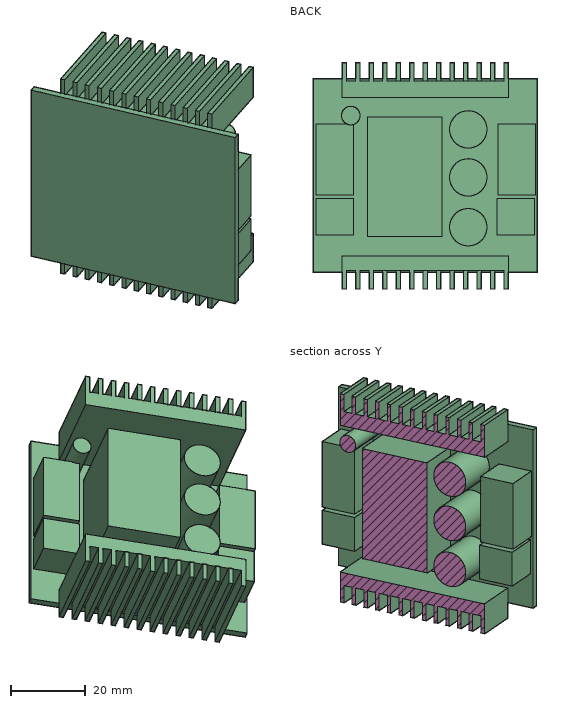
import cadquery as cq

BOARD_WIDTH = 60.0
BOARD_HEIGHT = 51.8
BOARD_THICKNESS = 2.0

SINK_WIDTH = 44.5
SINK_LEFT = (BOARD_WIDTH - SINK_WIDTH) / 2
SINK_LENGTH = 26.9
FIN_COUNT = 13
FIN_THICKNESS = 1.2
FIN_PITCH = (SINK_WIDTH - FIN_THICKNESS) / (FIN_COUNT - 1)
FIN_HEIGHT = 4.95
TOP_OVERHANG = 4.3
TOP_SINK_HEIGHT = 9.35
BOTTOM_OVERHANG = 4.5
BOTTOM_SINK_HEIGHT = 8.8
TOP_LONG_FINS = (1, 2, 3, 4, 5, 6, 8)
TOP_LONG_FIN_EXTRA = 0.1
BOTTOM_LONG_FINS = (1, 2, 3, 4, 5, 6, 8, 9)
BOTTOM_LONG_FIN_EXTRA = 0.25

CAPACITOR_DIAMETER = 10.0
CAPACITOR_LENGTH = 21.95
CAPACITOR_X = 18.5
CAPACITOR_HEIGHTS = (12.05, 25.4, 38.25)

SMALL_DIAMETER = 4.95
SMALL_LENGTH = 14.95
SMALL_RIGHT = 52.4
SMALL_TOP = 44.4

BLOCK_LEFT = 25.45
BLOCK_WIDTH = 20.0
BLOCK_BOTTOM = 9.5
BLOCK_HEIGHT = 32.05
BLOCK_LENGTH = 25.0

CONNECTOR_WIDTH = 10.0
CONNECTOR_LENGTH = 10.0
RIGHT_CONNECTOR_INSET = 0.7
LONG_CONNECTOR_INSET = 0.5
LONG_CONNECTOR_BOTTOM = 20.7
LONG_CONNECTOR_HEIGHT = 19.0
SHORT_CONNECTOR_INSET = 0.7
SHORT_CONNECTOR_BOTTOM = 9.95
SHORT_CONNECTOR_HEIGHT = 9.8


def box_on_board(left, bottom, width, height, length):
    """Box rising from the board's back face."""
    corner = (left, BOARD_THICKNESS, bottom)
    return cq.Workplane("XY").box(width, length, height, centered=False).translate(corner)


def cylinder_on_board(x, z, diameter, length):
    """Round component rising from the board's back face."""
    back_face = cq.Workplane("XZ", origin=(x, BOARD_THICKNESS, z))
    return back_face.circle(diameter / 2).extrude(-length)


def heat_sink(base_bottom, base_height, fins_bottom, long_fins, long_fin_extra):
    """Sink base with its row of fins."""
    sink = box_on_board(SINK_LEFT, base_bottom, SINK_WIDTH, base_height, SINK_LENGTH)
    for index in range(FIN_COUNT):
        left = SINK_LEFT + index * FIN_PITCH
        length = SINK_LENGTH + (long_fin_extra if index in long_fins else 0)
        sink = sink.union(box_on_board(left, fins_bottom, FIN_THICKNESS, FIN_HEIGHT, length))
    return sink


result = cq.Workplane("XY").box(BOARD_WIDTH, BOARD_THICKNESS, BOARD_HEIGHT, centered=False)

top_base_height = TOP_SINK_HEIGHT - FIN_HEIGHT
top_base_bottom = BOARD_HEIGHT + TOP_OVERHANG - TOP_SINK_HEIGHT
top_fins_bottom = top_base_bottom + top_base_height
result = result.union(
    heat_sink(top_base_bottom, top_base_height, top_fins_bottom, TOP_LONG_FINS, TOP_LONG_FIN_EXTRA)
)

bottom_base_height = BOTTOM_SINK_HEIGHT - FIN_HEIGHT
bottom_fins_bottom = -BOTTOM_OVERHANG
bottom_base_bottom = bottom_fins_bottom + FIN_HEIGHT
result = result.union(
    heat_sink(
        bottom_base_bottom, bottom_base_height, bottom_fins_bottom, BOTTOM_LONG_FINS, BOTTOM_LONG_FIN_EXTRA
    )
)

for z in CAPACITOR_HEIGHTS:
    result = result.union(cylinder_on_board(CAPACITOR_X, z, CAPACITOR_DIAMETER, CAPACITOR_LENGTH))
small_x = SMALL_RIGHT - SMALL_DIAMETER / 2
small_z = SMALL_TOP - SMALL_DIAMETER / 2
result = result.union(cylinder_on_board(small_x, small_z, SMALL_DIAMETER, SMALL_LENGTH))

result = result.union(box_on_board(BLOCK_LEFT, BLOCK_BOTTOM, BLOCK_WIDTH, BLOCK_HEIGHT, BLOCK_LENGTH))

CONNECTORS = (
    (LONG_CONNECTOR_INSET, LONG_CONNECTOR_BOTTOM, LONG_CONNECTOR_HEIGHT),
    (SHORT_CONNECTOR_INSET, SHORT_CONNECTOR_BOTTOM, SHORT_CONNECTOR_HEIGHT),
)
for inset, bottom, height in CONNECTORS:
    for left in (inset, BOARD_WIDTH - RIGHT_CONNECTOR_INSET - CONNECTOR_WIDTH):
        result = result.union(box_on_board(left, bottom, CONNECTOR_WIDTH, height, CONNECTOR_LENGTH))